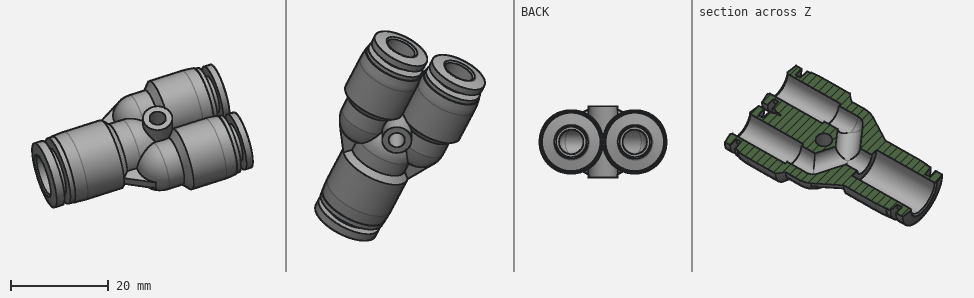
import cadquery as cq
import math


overall_length = 41.7
overall_height = 14.6

main_port = {
    "collar_radius": 6.9,
    "neck_radius": 4.95,
    "ring_radius": 7.05,
    "crown_radius": 7.15,
    "body_radius": overall_height / 2,
    "stem_radius": 6.0,
    "bore_radius": 4.15,
    "collar_start": 0.37,
    "collar_end": 2.1,
    "ring_start": 3.2,
    "crown_start": 4.4,
    "body_start": 7.0,
    "body_end": 15.0,
    "stem_start": 16.3,
    "stem_end": 19.35,
}
branch_port = {
    "collar_radius": 5.95,
    "neck_radius": 3.9,
    "ring_radius": 6.1,
    "crown_radius": 6.3,
    "body_radius": 6.51,
    "stem_radius": 5.0,
    "bore_radius": 3.1,
    "collar_start": 0.4,
    "collar_end": 1.82,
    "ring_start": 2.95,
    "crown_start": 4.0,
    "body_start": 6.5,
    "body_end": 13.65,
    "stem_start": 15.1,
    "stem_end": 18.45,
}

branch_offset = 6.49
main_center_y = main_port["stem_end"]
branch_center_y = overall_length - branch_port["stem_end"]

mouth_chamfer = 0.35
rim_width = 0.2
ring_face_rise = 0.15

passage_radius = 2.5

eye_y = 25.25
eye_radius = 3.0
eye_hole_radius = 1.65

rib_thickness = 2.0


def crown_arc_midpoint(port):
    """Midpoint of the crown's arc, which runs tangent into the straight body."""
    length = port["body_start"] - port["crown_start"]
    drop = port["body_radius"] - port["crown_radius"]
    arc_radius = (length**2 + drop**2) / (2 * drop)
    half_angle = math.asin(length / arc_radius) / 2
    return (
        port["body_radius"] - arc_radius * (1 - math.cos(half_angle)),
        port["body_start"] - arc_radius * math.sin(half_angle),
    )


def port_solid(port):
    """Port turned about the Y axis with its mouth at y = 0 and a domed inner end."""
    rim_radius = port["bore_radius"] + mouth_chamfer + rim_width
    dome_radius = port["stem_radius"]
    dome_mid = dome_radius * math.sqrt(0.5)
    crown_mid = crown_arc_midpoint(port)

    return (
        cq.Workplane("XY")
        .moveTo(0, 0)
        .lineTo(rim_radius, 0)
        .lineTo(port["collar_radius"], port["collar_start"])
        .lineTo(port["collar_radius"], port["collar_end"])
        .lineTo(port["neck_radius"], port["collar_end"])
        .lineTo(port["neck_radius"], port["ring_start"])
        .lineTo(port["ring_radius"], port["ring_start"] + ring_face_rise)
        .lineTo(port["ring_radius"], port["crown_start"])
        .lineTo(port["crown_radius"], port["crown_start"])
        .threePointArc(crown_mid, (port["body_radius"], port["body_start"]))
        .lineTo(port["body_radius"], port["body_end"])
        .lineTo(port["stem_radius"], port["stem_start"])
        .lineTo(port["stem_radius"], port["stem_end"])
        .threePointArc(
            (dome_mid, port["stem_end"] + dome_mid),
            (0, port["stem_end"] + dome_radius),
        )
        .close()
        .revolve(360, (0, 0, 0), (0, 1, 0))
    )


def port_cavity(port):
    """Chamfered tube bore, then a narrower passage ending in a ball at the dome centre."""
    bore_radius = port["bore_radius"]
    passage_mid = passage_radius * math.sqrt(0.5)

    return (
        cq.Workplane("XY")
        .moveTo(0, 0)
        .lineTo(bore_radius + mouth_chamfer, 0)
        .lineTo(bore_radius, mouth_chamfer)
        .lineTo(bore_radius, port["body_end"])
        .lineTo(passage_radius, port["body_end"])
        .lineTo(passage_radius, port["stem_end"])
        .threePointArc(
            (passage_mid, port["stem_end"] + passage_mid),
            (0, port["stem_end"] + passage_radius),
        )
        .close()
        .revolve(360, (0, 0, 0), (0, 1, 0))
    )


def at_branch(shape, side):
    """Turn a port shape to face +Y and move it onto the branch axis on the given side."""
    return shape.mirror("XZ").translate((side * branch_offset, overall_length, 0))


def cross_passage(side):
    """Slanted passage joining the main dome centre to a branch dome centre."""
    run = cq.Vector(side * branch_offset, branch_center_y - main_center_y, 0)
    start = cq.Vector(0, main_center_y, 0)
    return cq.Workplane(cq.Solid.makeCylinder(passage_radius, run.Length, start, run))


def rib(side):
    """Flat rib from the main shoulder, its outer edge tangent to the branch dome."""
    foot_x = main_port["body_radius"]
    foot_y = main_port["body_end"]
    dome_radius = branch_port["stem_radius"]
    to_foot_x = foot_x - branch_offset
    to_foot_y = foot_y - branch_center_y
    foot_distance = math.hypot(to_foot_x, to_foot_y)
    foot_angle = math.atan2(to_foot_y, to_foot_x)
    tangent_angle = foot_angle + math.acos(dome_radius / foot_distance)
    tangent_x = branch_offset + dome_radius * math.cos(tangent_angle)
    tangent_y = branch_center_y + dome_radius * math.sin(tangent_angle)

    outline = [
        (side * foot_x, foot_y),
        (side * tangent_x, tangent_y),
        (side * branch_offset, branch_center_y),
        (0, main_center_y),
        (0, foot_y),
    ]
    return (
        cq.Workplane("XY")
        .polyline(outline)
        .close()
        .extrude(rib_thickness / 2, both=True)
    )


def eye_cylinder(radius):
    """Full-height vertical cylinder on the mounting eye's axis."""
    return (
        cq.Workplane("XY")
        .center(0, eye_y)
        .circle(radius)
        .extrude(overall_height / 2, both=True)
    )


body = port_solid(main_port).union(eye_cylinder(eye_radius))
for side in (-1, 1):
    body = body.union(at_branch(port_solid(branch_port), side))
    body = body.union(rib(side))

body = body.cut(port_cavity(main_port))
for side in (-1, 1):
    body = body.cut(at_branch(port_cavity(branch_port), side))
    body = body.cut(cross_passage(side))
body = body.cut(eye_cylinder(eye_hole_radius))

result = body